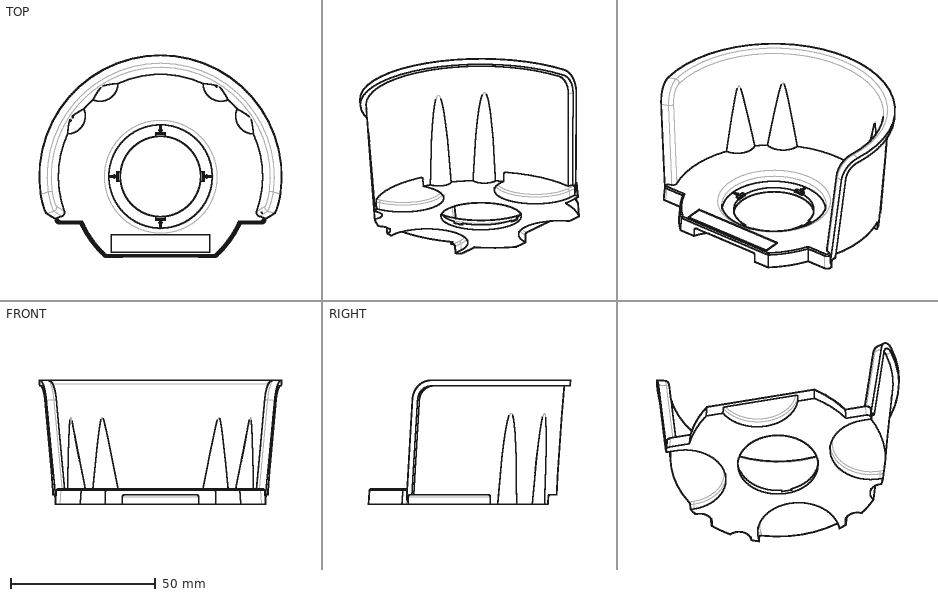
import math

import cadquery as cq

height = 43.0
floor_top = 5.4
draft = 4.0
draft_slope = math.tan(math.radians(draft))
beyond = 60.0
overlap = 1.0
tolerance = 0.01

wall_outer_base = 37.0
wall_thickness = 2.0
wall_inner_base = wall_outer_base - wall_thickness

end_x_base = 36.0
end_y_base = -14.9
end_lean = math.tan(math.radians(5.2))
end_slant = math.tan(math.radians(19.0))
end_corner_radius = 7.4
lip_width = 2.0
lip_thickness = 2.0
lip_fillet = 1.4

tab_front_y = -28.0
tab_front_half_width = 19.2
tab_shoulder_y = -16.4
tab_neck_half_width = 27.8
tab_side_radius = 35.0
ear_half_width = 36.4
ear_corner_radius = 1.5
tab_chamfer_width = 0.5
tab_chamfer_height = 0.5

hole_radius = 13.9
recess_floor = 1.8
recess_radius = 17.9
recess_fillet = 1.5

notch_width = 3.4
notch_reach = 15.1
notch_slope_width = 0.5
notch_depth = 0.5
mark_depth = 0.2
arrow_tip = 15.25
arrow_tail = 17.6
arrow_half_width = 0.6
arrow_head_length = 0.8
arrow_shaft_half_width = 0.2

pocket_radius = 14.2
pocket_centre = 33.0
pocket_height = 3.3
pocket_fillet = 0.7

label_length = 34.2
label_width = 6.1
label_y = -23.2

rib_angles = (33.0, 57.0, 123.0, 147.0)
rib_axis_radius = 38.5
rib_apex_height = 37.2
rib_slope = 0.197
flute_radius = 4.3
flute_tip_height = 31.0
flute_slope = 0.155


def cone(base_radius, top):
    """Drafted solid from z = 0 to top, widening upwards."""
    return cq.Workplane("XY").add(
        cq.Solid.makeCone(base_radius, base_radius + draft_slope * top, top)
    )


def side_half(inset):
    """Half of side_profile for -X, swept level along the slanting end of the wall."""
    top = height - inset
    end_base = end_y_base + inset * math.hypot(1, end_lean)
    profile = (
        cq.Workplane("YZ", origin=(-end_x_base, 0, 0))
        .polyline([(end_base, 0), (end_base + end_lean * top, top), (2 * beyond, top), (2 * beyond, 0)])
        .close()
        .extrude(overlap)
        .faces("<Y")
        .edges(">Z")
        .fillet(end_corner_radius - inset)
        .faces("<X")
        .val()
    )
    outwards = cq.Vector(-beyond, -end_slant * beyond, 0)
    inwards = cq.Vector(end_x_base, end_slant * end_x_base, 0)
    swept = cq.Solid.extrudeLinear(profile.outerWire(), [], outwards - inwards)
    return cq.Workplane("XY").add(swept.moved(cq.Location(inwards)))


def side_profile(inset):
    """Solid whose front edge and top edge are the wall edge moved inwards by inset."""
    left = side_half(inset)
    return left.union(left.mirror("YZ"))


def on_inner_cone(edge):
    """True for an edge whose start, middle and end all lie on the wall's inner face."""
    points = (edge.startPoint(), edge.positionAt(0.5), edge.endPoint())
    gaps = [math.hypot(p.x, p.y) - wall_inner_base - draft_slope * p.z for p in points]
    return max(abs(gap) for gap in gaps) < tolerance


def make_wall():
    """Cup wall with its outer lip and rounded inner edge."""
    outside_of_wall = side_profile(lip_thickness).cut(cone(wall_outer_base, height))
    wall = (
        cone(wall_outer_base + lip_width, height)
        .intersect(side_profile(0))
        .cut(outside_of_wall)
        .cut(cone(wall_inner_base, height))
    )
    inner_edges = [edge for edge in wall.edges().vals() if on_inner_cone(edge)]
    free_edges = [edge for edge in inner_edges if edge.Center().z > tolerance]
    return wall.newObject(free_edges).fillet(lip_fillet)


def tab_outline(sketch, inset):
    """Tab outline with its front and sides moved inwards by inset."""
    front_y = tab_front_y + inset
    front_x = tab_front_half_width - inset / 2
    shoulder_y = tab_shoulder_y + inset
    neck_x = tab_neck_half_width - inset
    ear_x = ear_half_width - inset
    corner_x = ear_x - ear_corner_radius
    corner_y = shoulder_y + ear_corner_radius
    back_y = end_y_base + overlap
    return (
        sketch
        .moveTo(-ear_x, back_y)
        .lineTo(-ear_x, corner_y)
        .radiusArc((-corner_x, shoulder_y), -ear_corner_radius)
        .lineTo(-neck_x, shoulder_y)
        .radiusArc((-front_x, front_y), -tab_side_radius)
        .lineTo(front_x, front_y)
        .radiusArc((neck_x, shoulder_y), -tab_side_radius)
        .lineTo(corner_x, shoulder_y)
        .radiusArc((ear_x, corner_y), -ear_corner_radius)
        .lineTo(ear_x, back_y)
        .close()
    )


def make_tab():
    """Front tab with curved sides and an ear in front of each wall end."""
    tab = tab_outline(cq.Workplane("XY"), 0).workplane(offset=floor_top)
    tab = tab_outline(tab, draft_slope * floor_top).loft(ruled=True)
    top_edges = tab.faces(">Z").edges()
    front_edges = top_edges.vals()
    front_edges.remove(top_edges.edges(">Y").val())
    chamfered = tab.val().chamfer(tab_chamfer_height, tab_chamfer_width, front_edges)
    return tab.newObject([chamfered])


def make_floor():
    """Round floor, cut off level with the feet of the wall ends."""
    front_limit = cq.Workplane("XY").box(2 * beyond, beyond, height, centered=(True, False, False))
    return cone(wall_outer_base, floor_top).intersect(front_limit.translate((0, end_y_base, 0)))


def around(angle, shape):
    return shape.rotate((0, 0, 0), (0, 0, 1), angle)


def make_rib(angle):
    """Upright cone rising from the underside, trimmed to stay within the wall's outer face."""
    rib = cq.Solid.makeCone(rib_slope * rib_apex_height, 0, rib_apex_height)
    rib = cq.Workplane("XY").add(rib).translate((rib_axis_radius, 0, 0))
    trim = cone(wall_outer_base - wall_thickness + overlap, height)
    return around(angle, rib.intersect(trim))


def make_flute(angle):
    """Leaning cylinder that runs out of the wall at the flute tip."""
    tip_radius = wall_outer_base + draft_slope * flute_tip_height
    axis_at_base = tip_radius - flute_slope * flute_tip_height + flute_radius
    direction = cq.Vector(flute_slope, 0, 1)
    start = cq.Vector(axis_at_base, 0, 0) - direction * floor_top
    length = flute_tip_height + 2 * floor_top
    flute = cq.Solid.makeCylinder(flute_radius, length, start, direction)
    return around(angle, cq.Workplane("XY").add(flute))


def make_recess():
    """Drafted round recess whose rim is rounded over onto the floor."""
    round_start = floor_top - recess_fillet
    wall_top_radius = recess_radius + draft_slope * (round_start - recess_floor)
    return (
        cq.Workplane("XZ")
        .moveTo(0, recess_floor)
        .lineTo(recess_radius, recess_floor)
        .lineTo(wall_top_radius, round_start)
        .radiusArc((wall_top_radius + recess_fillet, floor_top), recess_fillet)
        .lineTo(0, floor_top)
        .close()
        .revolve()
    )


def make_pocket(angle):
    """Round-ended pocket that opens outwards, with a rounded ceiling."""
    pocket = (
        cq.Workplane("XY")
        .moveTo(beyond, -pocket_radius)
        .lineTo(pocket_centre, -pocket_radius)
        .threePointArc((pocket_centre - pocket_radius, 0), (pocket_centre, pocket_radius))
        .lineTo(beyond, pocket_radius)
        .close()
        .extrude(pocket_height)
        .faces(">Z")
        .edges()
        .fillet(pocket_fillet)
    )
    return around(angle, pocket)


def make_notch(angle):
    """Notch in the hole edge whose outer end slopes down."""
    notch_bottom = recess_floor - notch_depth
    notch = (
        cq.Workplane("XZ")
        .polyline([
            (hole_radius - overlap, notch_bottom),
            (notch_reach - notch_slope_width, notch_bottom),
            (notch_reach, recess_floor),
            (hole_radius - overlap, recess_floor),
        ])
        .close()
        .extrude(notch_width / 2, both=True)
    )
    return around(angle, notch)


def make_arrow(angle):
    """Shallow arrow mark that points at the hole."""
    head_back = arrow_tip + arrow_head_length
    arrow = (
        cq.Workplane("XY", origin=(0, 0, recess_floor - mark_depth))
        .polyline([
            (arrow_tip, 0),
            (head_back, arrow_half_width),
            (head_back, arrow_shaft_half_width),
            (arrow_tail, arrow_shaft_half_width),
            (arrow_tail, -arrow_shaft_half_width),
            (head_back, -arrow_shaft_half_width),
            (head_back, -arrow_half_width),
        ])
        .close()
        .extrude(mark_depth)
    )
    return around(angle, arrow)


def make_label():
    """Shallow rectangular panel sunk into the tab."""
    return (
        cq.Workplane("XY", origin=(0, label_y, floor_top - mark_depth))
        .rect(label_length, label_width)
        .extrude(mark_depth)
    )


result = make_wall()
for rib_angle in rib_angles:
    result = result.union(make_rib(rib_angle))
result = result.union(make_floor()).union(make_tab())
for rib_angle in rib_angles:
    result = result.cut(make_flute(rib_angle))
result = result.cut(make_recess())
result = result.cut(cq.Workplane("XY").circle(hole_radius).extrude(floor_top))
result = result.cut(make_label())
for quarter in range(4):
    side_angle = 90 * quarter
    result = result.cut(make_pocket(side_angle))
    result = result.cut(make_notch(side_angle))
    result = result.cut(make_arrow(side_angle))